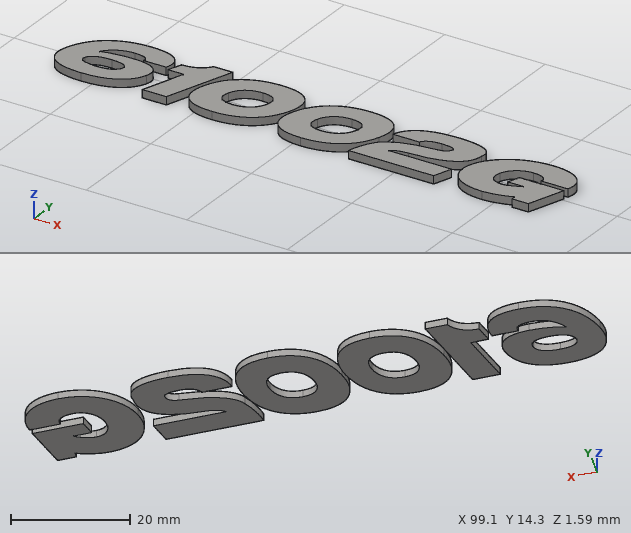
import cadquery as cq


THICKNESS = 1.59
SLANT = 0.34

CAP_HEIGHT = 13.5
OVERSHOOT = 0.38
ROUND_TOP = CAP_HEIGHT + OVERSHOOT
ROUND_BOTTOM = -OVERSHOOT
MIDDLE = CAP_HEIGHT / 2
STROKE = 3.62
COUNTER_TOP = CAP_HEIGHT - STROKE
ARCH_TOP = 10.47
TERMINAL = 9.0

BOWL_FULLNESS = 0.64
G_FULLNESS = 0.585

SIX_LEFT = -1.8
ONE_LEFT = 16.15
ZERO_LEFT = 24.9
ZERO_PITCH = 17.7
ZERO_COUNT = 2
TWO_LEFT = 60.3
G_LEFT = 78.0


class Pen:
    """Draws one closed outline from upright points measured from a character's left edge."""

    def __init__(self, left, start, fullness=BOWL_FULLNESS):
        self.left = left
        self.fullness = fullness
        self.start = start
        self.point = start
        self.edges = []

    def slanted(self, point):
        x, y = point
        return cq.Vector(self.left + x + SLANT * y, y, 0)

    def line(self, *ends):
        for end in ends:
            self.edges.append(cq.Edge.makeLine(self.slanted(self.point), self.slanted(end)))
            self.point = end

    def bow(self, corner, end):
        """Curve that leaves toward the corner and arrives from it."""
        begin_v, corner_v, end_v = [self.slanted(p) for p in (self.point, corner, end)]
        begin_pull = begin_v + (corner_v - begin_v) * self.fullness
        end_pull = end_v + (corner_v - end_v) * self.fullness
        self.edges.append(cq.Edge.makeBezier([begin_v, begin_pull, end_pull, end_v]))
        self.point = end

    def upright_bow(self, end):
        """Quarter bow that leaves along the slant and arrives level."""
        self.bow((self.point[0], end[1]), end)

    def level_bow(self, end):
        """Quarter bow that leaves level and arrives along the slant."""
        self.bow((end[0], self.point[1]), end)

    def close(self):
        if self.point != self.start:
            self.line(self.start)
        return cq.Wire.assembleEdges(self.edges)


def oval(left, center, half_width, half_height):
    x, y = center
    west = (x - half_width, y)
    pen = Pen(left, west)
    pen.upright_bow((x, y + half_height))
    pen.level_bow((x + half_width, y))
    pen.upright_bow((x, y - half_height))
    pen.level_bow(west)
    return pen.close()


def plate(outline, counters=()):
    face = cq.Face.makeFromWires(outline, list(counters))
    return cq.Solid.extrudeLinear(face, cq.Vector(0, 0, THICKNESS))


def make_six(left):
    bowl_top = 8.64
    crotch = (4.9, 7.82)
    pen = Pen(left, (17.0, TERMINAL))
    pen.upright_bow((9.4, ROUND_TOP))
    pen.level_bow((0, 6.15))
    pen.upright_bow((9.3, ROUND_BOTTOM))
    pen.level_bow((17.3, 4.7))
    pen.upright_bow((10.8, bowl_top))
    pen.bow((7.5, bowl_top), crotch)
    pen.bow((5.8, ARCH_TOP), (9.4, ARCH_TOP))
    pen.level_bow((12.45, TERMINAL))
    counter = oval(left, center=(8.77, 4.7), half_width=3.7, half_height=1.67)
    return plate(pen.close(), [counter])


def make_one(left):
    stem_left = 3.1
    stem_right = 7.9
    flag_bottom = 8.4
    flag_top = 11.16
    nick = (4.07, CAP_HEIGHT)
    pen = Pen(left, (stem_left, 0))
    pen.line((stem_right, 0), (stem_right, CAP_HEIGHT), nick)
    pen.bow((3.43, flag_top), (0, flag_top))
    pen.line((0, flag_bottom), (stem_left, flag_bottom))
    return plate(pen.close())


def make_zero(left):
    half_width = 8.57
    center = (half_width, MIDDLE)
    outline = oval(left, center, half_width, ROUND_TOP - MIDDLE)
    counter_shift = 0.12
    counter_center = (half_width + counter_shift, MIDDLE)
    counter = oval(left, counter_center, half_width=3.8, half_height=COUNTER_TOP - MIDDLE)
    return plate(outline, [counter])


def make_two(left):
    foot_right = 16.95
    pen = Pen(left, (0, 0))
    pen.line((foot_right, 0), (foot_right, STROKE), (4.37, STROKE))
    pen.bow((4.97, 4.47), (7.4, 4.65))
    pen.bow((18.17, 4.9), (16.35, 10.34))
    pen.upright_bow((8.14, ROUND_TOP))
    pen.bow((-0.44, ROUND_TOP), (0, TERMINAL))
    pen.line((5.25, TERMINAL))
    pen.bow((5.42, ARCH_TOP), (8.34, ARCH_TOP))
    pen.level_bow((11.29, 9.57))
    pen.bow((11.44, 8.45), (9.61, 8.29))
    pen.bow((1.23, 7.62), (0.46, 4.55))
    pen.bow((-0.3, 2.66), (0, 0))
    return plate(pen.close())


def make_g(left):
    spur_right = 18.08
    spur_left = 14.83
    bar_left = 9.22
    bar_top = 7.2
    bar_bottom = 4.81
    jaw_bottom = 8.1
    jaw_left = 12.65
    jaw_right = 17.98
    pen = Pen(left, (spur_right, 0), G_FULLNESS)
    pen.line((spur_right, bar_top), (bar_left, bar_top), (bar_left, bar_bottom), (12.39, bar_bottom))
    pen.bow((11.0, STROKE), (9.13, STROKE))
    pen.level_bow((5.81, MIDDLE))
    pen.upright_bow((9.4, COUNTER_TOP))
    pen.level_bow((jaw_left, jaw_bottom))
    pen.line((jaw_right, jaw_bottom))
    pen.upright_bow((9.5, ROUND_TOP))
    pen.level_bow((0, MIDDLE))
    pen.upright_bow((9.25, ROUND_BOTTOM))
    pen.bow((12.17, ROUND_BOTTOM), (14.5, 0.87))
    pen.line((spur_left, 0))
    return plate(pen.close())


six = make_six(SIX_LEFT)
one = make_one(ONE_LEFT)
zeros = [make_zero(ZERO_LEFT + i * ZERO_PITCH) for i in range(ZERO_COUNT)]
two = make_two(TWO_LEFT)
letter_g = make_g(G_LEFT)

result = cq.Compound.makeCompound([six, one, *zeros, two, letter_g])